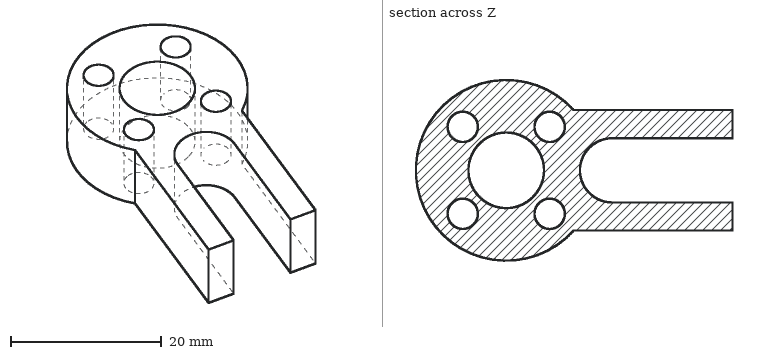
import cadquery as cq
import math

length = 42.0
thickness = 10.0
hub_diameter = 24.0
bore_diameter = 10.0
bolt_hole_diameter = 4.0
bolt_circle_radius = 8.15
bolt_count = 4
fork_width = 16.0
slot_width = 8.5
slot_center_x = 14.03

fork_end_x = length - hub_diameter / 2


def make_body():
    """Round hub merged with the rectangular fork block."""
    hub = cq.Workplane("XY").circle(hub_diameter / 2).extrude(thickness)
    fork = cq.Workplane("XY").rect(fork_end_x, fork_width).extrude(thickness)
    return hub.union(fork.translate((fork_end_x / 2, 0, 0)))


def make_slot():
    """Fork opening: round inner end, open at the fork tip."""
    radius = slot_width / 2
    return (
        cq.Workplane("XY")
        .moveTo(fork_end_x, -radius)
        .lineTo(slot_center_x, -radius)
        .threePointArc((slot_center_x - radius, 0), (slot_center_x, radius))
        .lineTo(fork_end_x, radius)
        .close()
        .extrude(thickness)
    )


def make_hub_holes():
    """Central bore and the bolt holes set on the diagonals around it."""
    holes = cq.Workplane("XY").circle(bore_diameter / 2).extrude(thickness)
    for index in range(bolt_count):
        angle = math.radians(45 + index * 360 / bolt_count)
        x = bolt_circle_radius * math.cos(angle)
        y = bolt_circle_radius * math.sin(angle)
        bolt_hole = cq.Workplane("XY").center(x, y).circle(bolt_hole_diameter / 2).extrude(thickness)
        holes = holes.union(bolt_hole)
    return holes


result = make_body().cut(make_slot()).cut(make_hub_holes())